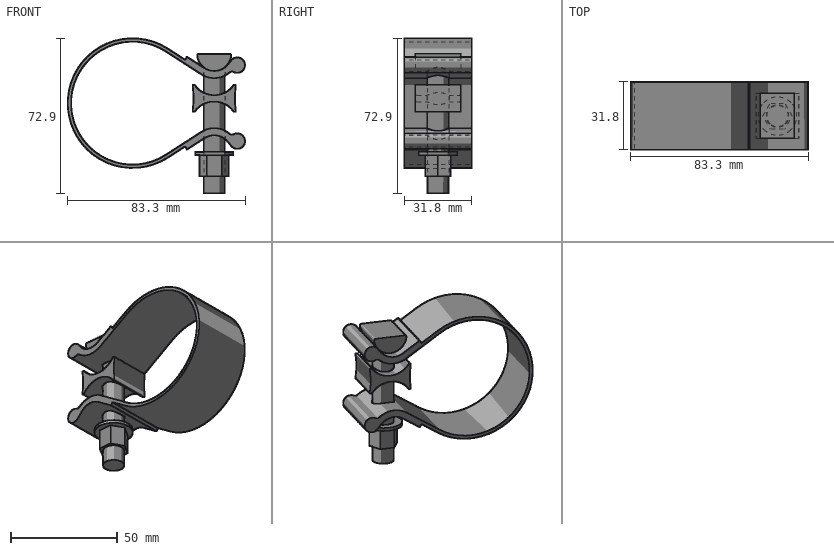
import cadquery as cq
import math

BAND_WIDTH = 31.8
SHEET = 1.7
RING_OUTER_RADIUS = 30.5
RING_INNER_RADIUS = RING_OUTER_RADIUS - SHEET
FLAP_LENGTH = 10.0
ROLL_RADIUS = 3.7
ROLL_X = 83.3 - RING_OUTER_RADIUS - ROLL_RADIUS
ROLL_Z = 17.8
ROLL_BLEND_RADIUS = 1.7

BOLT_X = 38.3
SHANK_DIAMETER = 10.0
CLEARANCE_DIAMETER = 10.5
BOLT_END_Z = -42.4
HEAD_RADIUS = 8.1
HEAD_TOP_Z = 23.15
HEAD_LENGTH = 21.2
HEAD_EDGE_RADIUS = 0.9

SPACER_Z = 2.25
SPACER_LENGTH = HEAD_LENGTH
SPACER_HALF_WIDTH = 10.25
SPACER_HALF_HEIGHT = 6.3
SPACER_HALF_WAIST = 1.5
SPACER_SIDE_HOLLOW = 0.5
SPACER_TIP_WIDTH = 1.1
SPACER_TIP_RADIUS = 0.4

FLANGE_DIAMETER = 18.0
FLANGE_TOP_Z = -22.9
FLANGE_THICKNESS = 1.5
NUT_ACROSS_CORNERS = 13.8
NUT_HEIGHT = 10.0

SADDLE_TOP_RADIUS = HEAD_RADIUS
SADDLE_FOLD_RADIUS = SADDLE_TOP_RADIUS + SHEET
SADDLE_BOTTOM_RADIUS = SADDLE_FOLD_RADIUS + SHEET
RING_CENTER = (0, 0)
SADDLE_CENTER = (BOLT_X, HEAD_TOP_Z)
ROLL_CENTER = (ROLL_X, ROLL_Z)


def polar(center, radius, angle):
    """Point in the XZ plane at an angle (radians) around a center."""
    return (center[0] + radius * math.cos(angle), center[1] + radius * math.sin(angle))


def direction(start, end):
    return math.atan2(end[1] - start[1], end[0] - start[0])


def extrude_across(profile, length):
    """Extrude an XZ profile symmetrically about the XZ plane."""
    return profile.extrude(length / 2, both=True)


def bolt_hole(diameter, bottom_z, top_z):
    """Cylinder to cut along the bolt axis."""
    return (
        cq.Workplane("XY", origin=(BOLT_X, 0, bottom_z))
        .circle(diameter / 2)
        .extrude(top_z - bottom_z)
    )


def make_ring(strap_normal):
    """Open ring that ends where the two straps leave it tangentially."""
    profile = (
        cq.Workplane("XZ")
        .moveTo(*polar(RING_CENTER, RING_OUTER_RADIUS, strap_normal))
        .threePointArc((-RING_OUTER_RADIUS, 0), polar(RING_CENTER, RING_OUTER_RADIUS, -strap_normal))
        .lineTo(*polar(RING_CENTER, RING_INNER_RADIUS, -strap_normal))
        .threePointArc((-RING_INNER_RADIUS, 0), polar(RING_CENTER, RING_INNER_RADIUS, strap_normal))
        .close()
    )
    return extrude_across(profile, BAND_WIDTH)


def make_upper_arm(strap_normal):
    """Strap, saddle and roll above the XY plane as one closed outline, with the bolt hole."""
    saddle_start = strap_normal + math.pi

    roll_distance = math.dist(SADDLE_CENTER, ROLL_CENTER)
    roll_direction = direction(SADDLE_CENTER, ROLL_CENTER)
    roll_normal = roll_direction - math.acos((SADDLE_TOP_RADIUS + ROLL_RADIUS) / roll_distance)

    saddle_to_blend = SADDLE_BOTTOM_RADIUS + ROLL_BLEND_RADIUS
    roll_to_blend = ROLL_RADIUS + ROLL_BLEND_RADIUS
    blend_angle = roll_direction - math.acos(
        (saddle_to_blend**2 + roll_distance**2 - roll_to_blend**2)
        / (2 * saddle_to_blend * roll_distance))
    blend_center = polar(SADDLE_CENTER, saddle_to_blend, blend_angle)
    blend_to_roll = direction(blend_center, ROLL_CENTER)
    blend_middle = (blend_angle + math.pi + blend_to_roll) / 2

    def flap_end(radius):
        x, z = polar(SADDLE_CENTER, radius, saddle_start)
        return (x - FLAP_LENGTH * math.sin(strap_normal), z + FLAP_LENGTH * math.cos(strap_normal))

    outline = (
        cq.Workplane("XZ")
        .moveTo(*polar(RING_CENTER, RING_OUTER_RADIUS, strap_normal))
        .lineTo(*flap_end(SADDLE_FOLD_RADIUS))
        .lineTo(*flap_end(SADDLE_TOP_RADIUS))
        .lineTo(*polar(SADDLE_CENTER, SADDLE_TOP_RADIUS, saddle_start))
        .threePointArc(
            polar(SADDLE_CENTER, SADDLE_TOP_RADIUS, (saddle_start + roll_normal + 2 * math.pi) / 2),
            polar(SADDLE_CENTER, SADDLE_TOP_RADIUS, roll_normal))
        .lineTo(*polar(ROLL_CENTER, ROLL_RADIUS, roll_normal + math.pi))
        .threePointArc((ROLL_X + ROLL_RADIUS, ROLL_Z),
                       polar(ROLL_CENTER, ROLL_RADIUS, blend_to_roll + math.pi))
        .threePointArc(polar(blend_center, ROLL_BLEND_RADIUS, blend_middle),
                       polar(SADDLE_CENTER, SADDLE_BOTTOM_RADIUS, blend_angle))
        .threePointArc((BOLT_X, HEAD_TOP_Z - SADDLE_BOTTOM_RADIUS),
                       polar(SADDLE_CENTER, SADDLE_BOTTOM_RADIUS, saddle_start))
        .lineTo(*polar(RING_CENTER, RING_INNER_RADIUS, strap_normal))
        .close()
    )
    arm = extrude_across(outline, BAND_WIDTH)
    return arm.cut(bolt_hole(CLEARANCE_DIAMETER, 0, HEAD_TOP_Z))


def make_band():
    saddle_distance = math.dist(RING_CENTER, SADDLE_CENTER)
    strap_normal = direction(RING_CENTER, SADDLE_CENTER) + math.acos(
        (RING_OUTER_RADIUS + SADDLE_FOLD_RADIUS) / saddle_distance)
    upper_arm = make_upper_arm(strap_normal)
    band = make_ring(strap_normal)
    for arm in (upper_arm, upper_arm.mirror("XY")):
        band = band.union(arm, clean=False)
    return band


def make_bolt():
    head_profile = (
        cq.Workplane("XZ")
        .moveTo(BOLT_X - HEAD_RADIUS, HEAD_TOP_Z)
        .threePointArc((BOLT_X, HEAD_TOP_Z - HEAD_RADIUS), (BOLT_X + HEAD_RADIUS, HEAD_TOP_Z))
        .close()
    )
    head = extrude_across(head_profile, HEAD_LENGTH)
    head = head.faces(">Z").edges("|Y").fillet(HEAD_EDGE_RADIUS)
    shank_top_z = HEAD_TOP_Z - HEAD_RADIUS / 2
    shank = (
        cq.Workplane("XY", origin=(BOLT_X, 0, BOLT_END_Z))
        .circle(SHANK_DIAMETER / 2)
        .extrude(shank_top_z - BOLT_END_Z)
    )
    return head.union(shank)


def make_spacer():
    """Waisted block with hollow top, bottom and sides."""
    half_width = SPACER_HALF_WIDTH
    half_height = SPACER_HALF_HEIGHT
    tip_x = half_width - SPACER_TIP_WIDTH
    side_x = half_width - SPACER_SIDE_HOLLOW
    profile = (
        cq.Workplane("XZ", origin=(BOLT_X, 0, SPACER_Z))
        .moveTo(-half_width, half_height)
        .lineTo(-tip_x, half_height)
        .threePointArc((0, SPACER_HALF_WAIST), (tip_x, half_height))
        .lineTo(half_width, half_height)
        .threePointArc((side_x, 0), (half_width, -half_height))
        .lineTo(tip_x, -half_height)
        .threePointArc((0, -SPACER_HALF_WAIST), (-tip_x, -half_height))
        .lineTo(-half_width, -half_height)
        .threePointArc((-side_x, 0), (-half_width, half_height))
        .close()
    )
    block = extrude_across(profile, SPACER_LENGTH).edges("|Y").fillet(SPACER_TIP_RADIUS)
    return block.cut(
        bolt_hole(CLEARANCE_DIAMETER, SPACER_Z - half_height, SPACER_Z + half_height))


def make_nut():
    flange = (
        cq.Workplane("XY", origin=(BOLT_X, 0, FLANGE_TOP_Z))
        .circle(FLANGE_DIAMETER / 2)
        .extrude(-FLANGE_THICKNESS)
    )
    hexagon = flange.faces("<Z").workplane().polygon(6, NUT_ACROSS_CORNERS).extrude(NUT_HEIGHT)
    return hexagon.cut(bolt_hole(SHANK_DIAMETER, BOLT_END_Z, FLANGE_TOP_Z))


band = make_band()
bolt = make_bolt()
spacer = make_spacer()
nut = make_nut()

result = cq.Compound.makeCompound([body.solids().val() for body in (band, bolt, spacer, nut)])